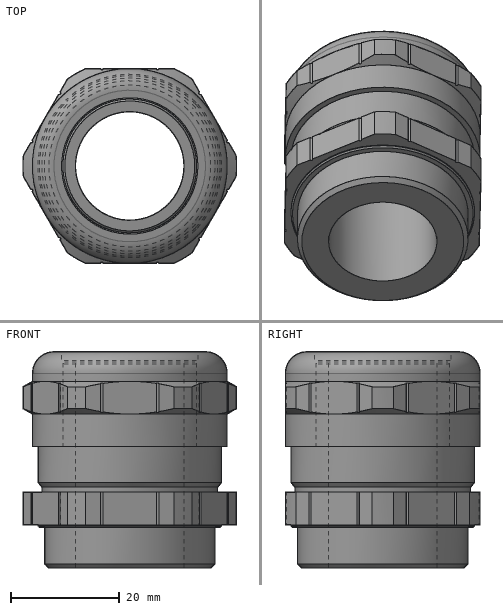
import cadquery as cq
import math

hex_sides = 6
across_flats = 36.0
corner_diameter = 39.5
hex_height = 6.05
groove_spacing = 10.3
groove_radius = 0.25

bore_radius = 10.0
thread_radius = 15.75
thread_chamfer = 0.8
collar_radius = 16.95
collar_bottom = 7.55
collar_chamfer = 0.3
body_hex_bottom = 8.0
neck_radius = 16.25
neck_top = 14.95
barrel_bottom = 15.85
joint_height = 22.5
spigot_radius = 12.35
spigot_chamfer = 0.35
spigot_top = 38.1

nut_radius = across_flats / 2
nut_top = 40.0
dome_radius = 4.0
nut_hex_bottom = 28.5
nut_hex_top = nut_hex_bottom + hex_height
corner_bevel_angle = math.radians(30)
mouth_radius = 12.6
mouth_depth = 1.6


def revolve_profile(profile):
    """Turn a closed (radius, height) profile about the Z axis."""
    return profile.close().revolve(360, (0, 0, 0), (0, 1, 0))


def flat_grooves(bottom):
    """Fine vertical half-round grooves, two on each flat of the hexagon."""
    grooves = cq.Workplane("XY")
    for side in range(hex_sides):
        pair = (
            cq.Workplane("XY", origin=(0, 0, bottom))
            .pushPoints([(x, -across_flats / 2) for x in (-groove_spacing / 2, groove_spacing / 2)])
            .circle(groove_radius)
            .extrude(hex_height)
            .rotate((0, 0, 0), (0, 0, 1), side * 360 / hex_sides)
        )
        grooves = grooves.add(pair)
    return cq.Compound.makeCompound(grooves.vals())


def grooved_hexagon(bottom):
    """Hexagon with corners on X, turned-down corners and grooved flats."""
    across_corners = across_flats / math.cos(math.pi / hex_sides)
    base = cq.Workplane("XY", origin=(0, 0, bottom))
    hexagon = base.polygon(hex_sides, across_corners).extrude(hex_height)
    corner_limit = base.circle(corner_diameter / 2).extrude(hex_height)
    return hexagon.intersect(corner_limit).cut(flat_grooves(bottom))


def make_body():
    """Threaded gland body with its hexagon and the spigot inside the nut."""
    profile = cq.Workplane("XZ").polyline([
        (bore_radius, 0),
        (thread_radius - thread_chamfer, 0),
        (thread_radius, thread_chamfer),
        (thread_radius, collar_bottom),
        (collar_radius - collar_chamfer, collar_bottom),
        (collar_radius, collar_bottom + collar_chamfer),
        (collar_radius, body_hex_bottom),
        (neck_radius, body_hex_bottom),
        (neck_radius, neck_top),
        (collar_radius, barrel_bottom),
        (collar_radius, joint_height),
        (spigot_radius, joint_height),
        (spigot_radius, spigot_top - spigot_chamfer),
        (spigot_radius - spigot_chamfer, spigot_top),
        (bore_radius, spigot_top),
    ])
    bore = cq.Workplane("XY").circle(bore_radius).extrude(spigot_top)
    return revolve_profile(profile).union(grooved_hexagon(body_hex_bottom)).cut(bore)


def make_nut():
    """Domed nut with a hexagon bevelled at both ends of its corners."""
    profile = (
        cq.Workplane("XZ")
        .moveTo(spigot_radius, joint_height)
        .lineTo(nut_radius, joint_height)
        .lineTo(nut_radius, nut_top - dome_radius)
        .radiusArc((nut_radius - dome_radius, nut_top), -dome_radius)
        .lineTo(mouth_radius, nut_top)
        .lineTo(mouth_radius, nut_top - mouth_depth)
        .lineTo(spigot_radius, nut_top - mouth_depth)
    )
    corner_radius = corner_diameter / 2
    bevel_height = (corner_radius - nut_radius) * math.tan(corner_bevel_angle)
    bevel_limit = cq.Workplane("XZ").polyline([
        (0, nut_hex_bottom),
        (nut_radius, nut_hex_bottom),
        (corner_radius, nut_hex_bottom + bevel_height),
        (corner_radius, nut_hex_top - bevel_height),
        (nut_radius, nut_hex_top),
        (0, nut_hex_top),
    ])
    bore = cq.Workplane("XY", origin=(0, 0, nut_hex_bottom)).circle(spigot_radius).extrude(hex_height)
    hexagon = grooved_hexagon(nut_hex_bottom).intersect(revolve_profile(bevel_limit)).cut(bore)
    return revolve_profile(profile).union(hexagon)


body = make_body()
nut = make_nut()

result = cq.Compound.makeCompound([body.val(), nut.val()])